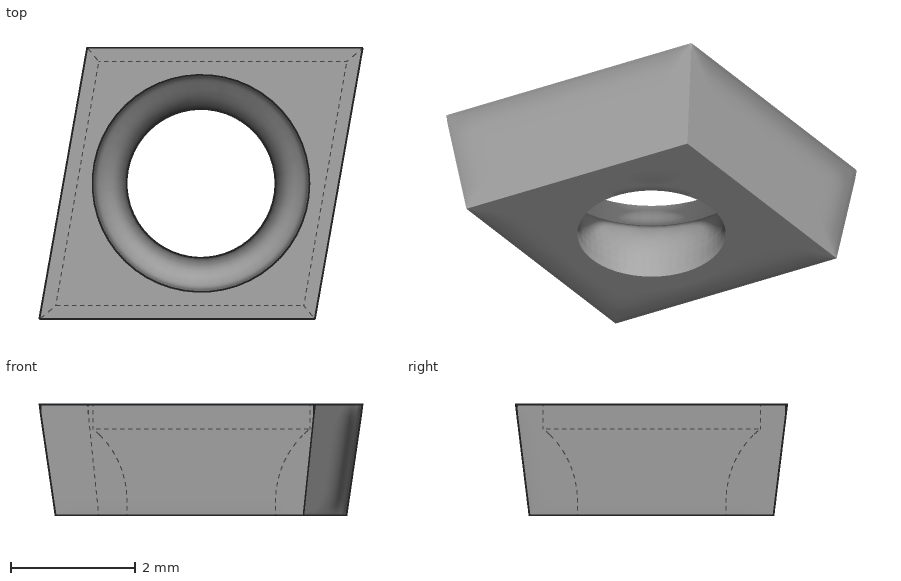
import cadquery as cq
import math

overall_length = 5.2
thickness = 1.79
corner_angle = 80.0
relief_angle = 7.0
corner_radius = 0.02

bore_diameter = 2.39
seat_diameter = 3.495
seat_depth = 0.39
bore_land = 0.245


def make_body():
    """Rhombus narrowing toward the base; its corner rounding fades out just below the top."""
    angle = math.radians(corner_angle)
    half_length = overall_length / 2 - corner_radius
    half_height = half_length / (1 / math.sin(angle) + 1 / math.tan(angle))
    lean = half_height / math.tan(angle)
    half_edge = half_length - lean
    centres = [
        (-half_edge - lean, -half_height),
        (half_edge - lean, -half_height),
        (half_edge + lean, half_height),
        (-half_edge + lean, half_height),
    ]
    return (
        cq.Workplane("XY")
        .workplane(offset=thickness)
        .polyline(centres)
        .close()
        .offset2D(corner_radius)
        .extrude(-thickness, taper=relief_angle)
    )


def make_hole():
    """Screw hole: straight seat, convex rounded throat, straight bore."""
    seat_radius = seat_diameter / 2
    bore_radius = bore_diameter / 2
    throat_top = thickness - seat_depth
    rise = throat_top - bore_land
    run = seat_radius - bore_radius
    arc_radius = (run**2 + rise**2) / (2 * run)
    half_sweep = math.atan2(run, rise)
    arc_middle = (
        bore_radius + arc_radius * (1 - math.cos(half_sweep)),
        bore_land + arc_radius * math.sin(half_sweep),
    )
    return (
        cq.Workplane("XZ")
        .lineTo(bore_radius, 0)
        .lineTo(bore_radius, bore_land)
        .threePointArc(arc_middle, (seat_radius, throat_top))
        .lineTo(seat_radius, thickness)
        .lineTo(0, thickness)
        .close()
        .revolve(360, (0, 0, 0), (0, 1, 0))
    )


result = make_body().cut(make_hole())